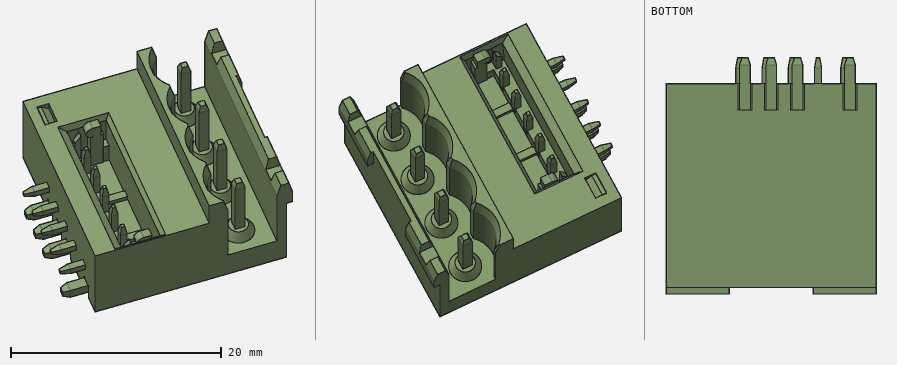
import cadquery as cq


width = 20.0
pole_count = 4
pole_pitch = width / pole_count
half_pitch = pole_pitch / 2
housing_depth = 19.42
height = 11.25
deck_height = 8.6

channel_floor = 2.9
channel_front = 13.45
channel_back = 18.43
front_wall_start = 11.56
lead_in_bottom = 9.8
lead_in_width = 0.4

lip_back = 20.02
lip_bottom = 8.24
lip_bevel_width = 0.35
lip_gap_width = 7.96
notch_floor = 10.04
notch_floor_width = 1.42
notch_top_width = 1.8

pole_y = 15.44
pole_size = 1.01
pole_tip_size = 0.58
pole_top = 10.48
pole_taper = 0.68
collar_radius = 1.58
collar_top_radius = 0.97
collar_height = 0.95
scallop_radius = 2.95
scallop_top_radius = 3.35

socket_center_x = 1.95
socket_width = 15.0
socket_front = 2.84
socket_back = 6.82
socket_top_width = 15.75
socket_top_front = 2.05
socket_top_back = 7.2
socket_lead_in = 0.58
socket_floor = 4.5
socket_well_front = 4.16
socket_well_floor = channel_floor
rib_width = 0.76
rib_height = 0.45

latch_width = 0.88
latch_front = 4.9
latch_back = 6.2
hook_radius = 0.68
hook_front = 4.45
hook_back = 5.96
hook_top = 8.55
corner_ledge_width = 0.8
corner_ledge_top = 5.13
stop_width = 0.55
stop_front = 3.33
stop_back = 3.94
stop_top = 7.88
stop_foot = 6.98
ramp_foot = 5.4

overall_depth = 22.5
pin_reach = overall_depth - lip_back

signal_count = 5
signal_size = 0.7
signal_tip_size = 0.34
signal_taper = 0.97
signal_z = 3.7
signal_y = 3.9
signal_top = 7.95

power_positions = (-1, 0, 1, 3)
power_size = 1.04
power_tip_size = 0.6
power_taper = 0.7
power_z = 1.2
power_embed = 3.6
groove_width = 1.3
groove_depth = 2.5

window_x = -7.76
window_width = 2.3
window_front = 1.04
window_back = 2.23
window_ledge_back = 1.46
window_ledge_depth = 0.22
window_depth = 0.76


def box(x_min, x_max, y_min, y_max, z_min, z_max):
    size = (x_max - x_min, y_max - y_min, z_max - z_min)
    return cq.Workplane("XY").box(*size, centered=False).translate((x_min, y_min, z_min))


def profile_along_x(points, x_min, x_max):
    """Extrude an outline of (y, z) points from x_min to x_max."""
    outline = cq.Workplane("YZ", origin=(x_min, 0, 0)).polyline(points).close()
    return outline.extrude(x_max - x_min)


def square_pin(length, size, taper, tip_size):
    """Square pin rising from the origin along Z, with a tapered tip."""
    shank = cq.Workplane("XY").rect(size, size).extrude(length - taper)
    tip = (
        cq.Workplane("XY", origin=(0, 0, length - taper))
        .rect(size, size)
        .workplane(offset=taper)
        .rect(tip_size, tip_size)
        .loft()
    )
    return shank.union(tip)


def forward_pin(embed, size, taper, tip_size):
    """Square pin along -Y that starts inside the housing and sticks out of the front."""
    pin = square_pin(embed + pin_reach, size, taper, tip_size)
    return pin.rotate((0, 0, 0), (1, 0, 0), 90).translate((0, embed, 0))


def housing():
    body = profile_along_x(
        [
            (0, 0),
            (housing_depth, 0),
            (housing_depth, lip_bottom),
            (lip_back, lip_bottom),
            (lip_back, lead_in_bottom),
            (lip_back - lip_bevel_width, height),
            (channel_back + lead_in_width, height),
            (channel_back, lead_in_bottom),
            (channel_back, channel_floor),
            (channel_front, channel_floor),
            (channel_front, lead_in_bottom),
            (channel_front - lead_in_width, height),
            (front_wall_start, height),
            (front_wall_start, deck_height),
            (0, deck_height),
        ],
        -width / 2,
        width / 2,
    )
    lip_gap = box(-lip_gap_width / 2, lip_gap_width / 2, housing_depth, lip_back, 0, height)
    return body.cut(lip_gap)


def lip_notch(x):
    """Notch with sloping sides across the top of the rear wall."""
    outline = [
        (x - notch_floor_width / 2, notch_floor),
        (x + notch_floor_width / 2, notch_floor),
        (x + notch_top_width / 2, height),
        (x - notch_top_width / 2, height),
    ]
    plane = cq.Workplane("XZ", origin=(0, lip_back, 0))
    return plane.polyline(outline).close().extrude(lip_back - channel_back)


def scallop(x):
    """Round recess in the front channel wall, flaring out towards the top."""
    center = (x, pole_y)
    straight = (
        cq.Workplane("XY", origin=(*center, channel_floor))
        .circle(scallop_radius)
        .extrude(lead_in_bottom - channel_floor)
    )
    flare = (
        cq.Workplane("XY", origin=(*center, lead_in_bottom))
        .circle(scallop_radius)
        .workplane(offset=height - lead_in_bottom)
        .circle(scallop_top_radius)
        .loft()
    )
    front_half = box(x - half_pitch, x + half_pitch, front_wall_start, pole_y, channel_floor, height)
    return straight.union(flare).intersect(front_half)


def pole_pin(x):
    collar = (
        cq.Workplane("XY", origin=(0, 0, channel_floor))
        .circle(collar_radius)
        .workplane(offset=collar_height)
        .circle(collar_top_radius)
        .loft()
    )
    pin = square_pin(pole_top - channel_floor, pole_size, pole_taper, pole_tip_size)
    return pin.translate((0, 0, channel_floor)).union(collar).translate((x, pole_y, 0))


def socket():
    """Cavity with a raised floor in front, a deeper well behind and a flared mouth."""
    x_min = socket_center_x - socket_width / 2
    x_max = socket_center_x + socket_width / 2
    front_part = box(x_min, x_max, socket_front, socket_back, socket_floor, deck_height)
    well = box(
        x_min + corner_ledge_width,
        x_max - corner_ledge_width,
        socket_well_front,
        socket_back,
        socket_well_floor,
        deck_height,
    )
    lead_in = (
        cq.Workplane("XY", origin=(socket_center_x, 0, deck_height - socket_lead_in))
        .center(0, (socket_front + socket_back) / 2)
        .rect(socket_width, socket_back - socket_front)
        .workplane(offset=socket_lead_in)
        .center(0, (socket_top_front + socket_top_back - socket_front - socket_back) / 2)
        .rect(socket_top_width, socket_top_back - socket_top_front)
        .loft()
    )
    return front_part.union(well).union(lead_in)


def well_rib(x):
    top = socket_well_floor + rib_height
    half = rib_width / 2
    return box(x - half, x + half, socket_well_front, socket_back, socket_well_floor, top)


def end_fittings():
    """Latch, corner ledge, wedge-shaped stop and ramp at the right end of the socket."""
    wall = socket_center_x + socket_width / 2
    inner = wall - latch_width
    hook_bottom = hook_top - 2 * hook_radius
    column = box(inner, wall, latch_front, latch_back, socket_well_floor, hook_bottom)
    hook = (
        cq.Workplane("YZ", origin=(inner, 0, 0))
        .moveTo(hook_back, hook_bottom)
        .lineTo(hook_back, hook_top)
        .lineTo(hook_front + hook_radius, hook_top)
        .threePointArc(
            (hook_front, hook_top - hook_radius),
            (hook_front + hook_radius, hook_bottom),
        )
        .close()
        .extrude(latch_width)
    )
    ledge = box(
        wall - corner_ledge_width, wall, latch_back, socket_back, socket_well_floor, corner_ledge_top
    )
    stop = profile_along_x(
        [
            (stop_back, socket_floor),
            (stop_back, stop_top),
            (stop_front, stop_foot),
            (stop_front, socket_floor),
        ],
        inner,
        inner + stop_width,
    )
    ramp = (
        cq.Workplane("XZ", origin=(0, stop_back, 0))
        .polyline(
            [
                (inner + stop_width, socket_floor),
                (wall, socket_floor),
                (wall, stop_top),
                (inner + stop_width, ramp_foot),
            ]
        )
        .close()
        .extrude(stop_back - socket_front)
    )
    return column.union(hook).union(ledge).union(stop).union(ramp)


def signal_pin(x):
    upright = square_pin(signal_top - signal_z, signal_size, signal_taper, signal_tip_size)
    foot = forward_pin(signal_y, signal_size, signal_taper, signal_tip_size)
    return upright.translate((0, signal_y, 0)).union(foot).translate((x, 0, signal_z))


def power_pin(x):
    pin = forward_pin(power_embed, power_size, power_taper, power_tip_size)
    return pin.translate((x, 0, power_z))


def power_groove(x):
    half = groove_width / 2
    return box(x - half, x + half, 0, groove_depth, 0, power_z + power_size / 2)


def indicator_window():
    """Recess with a shallow ledge in front and a slope down to the back."""
    return profile_along_x(
        [
            (window_front, deck_height),
            (window_front, deck_height - window_ledge_depth),
            (window_ledge_back, deck_height - window_ledge_depth),
            (window_back, deck_height - window_depth),
            (window_back, deck_height),
        ],
        window_x - window_width / 2,
        window_x + window_width / 2,
    )


pole_xs = [(i - (pole_count - 1) / 2) * pole_pitch for i in range(pole_count)]
signal_xs = [
    socket_center_x + (i - (signal_count - 1) / 2) * half_pitch for i in range(signal_count)
]
power_xs = [position * half_pitch for position in power_positions]

result = housing()

for x in (pole_xs[0], pole_xs[-1]):
    result = result.cut(lip_notch(x))

for x in pole_xs:
    result = result.cut(scallop(x)).union(pole_pin(x))

result = result.cut(indicator_window()).cut(socket())

rib_xs = (0, pole_pitch)
for x in rib_xs:
    result = result.union(well_rib(x))

right_fittings = end_fittings()
left_fittings = right_fittings.mirror("YZ", (socket_center_x, 0, 0))
result = result.union(right_fittings).union(left_fittings)

for x in signal_xs:
    result = result.union(signal_pin(x))

for x in power_xs:
    result = result.cut(power_groove(x)).union(power_pin(x))